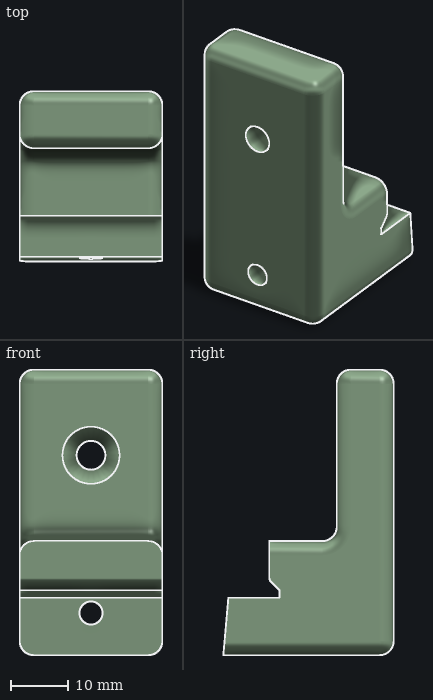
import cadquery as cq
import math

width = 25
height = 50
plate_thickness = 10
ledge_height = 20
ledge_depth = 21.8
base_depth = 29.85
base_height = 10.1
front_draft = 5
groove_depth = 20
groove_lip_height = 11.35
lip_radius = 1
edge_radius = 2.5

screw_hole_height = 35
screw_hole_diameter = 5
countersink_diameter = 10
countersink_angle = 90
base_hole_height = 7.4
base_hole_diameter = 4

base_top_depth = base_depth - base_height * math.tan(math.radians(front_draft))
lip_corner_height = groove_lip_height + ledge_depth - groove_depth


def make_body():
    """Extrude the L-shaped side profile and round its outer edges."""
    body = (
        cq.Workplane("YZ")
        .polyline([
            (0, 0),
            (-base_depth, 0),
            (-base_top_depth, base_height),
            (-groove_depth, base_height),
            (-groove_depth, groove_lip_height),
            (-ledge_depth, lip_corner_height),
            (-ledge_depth, ledge_height),
            (-plate_thickness, ledge_height),
            (-plate_thickness, height),
            (0, height),
        ])
        .close()
        .extrude(width / 2, both=True)
    )
    body = body.edges(
        cq.NearestToPointSelector((0, -ledge_depth, lip_corner_height))
    ).fillet(lip_radius)
    body = body.edges(
        cq.NearestToPointSelector((0, -plate_thickness, ledge_height))
    ).fillet(edge_radius)

    back_edges = body.faces(">Y").edges()
    bottom_side_edges = body.faces("<Z").edges("|Y")
    plate_face = body.faces(
        cq.NearestToPointSelector((0, -plate_thickness, screw_hole_height))
    )
    plate_edges = plate_face.edges("|Z or >Z")
    ledge_face = body.faces(
        cq.NearestToPointSelector((0, -(plate_thickness + ledge_depth) / 2, ledge_height))
    )
    ledge_edges = ledge_face.edges("|Y")
    top_side_edges = body.faces(">Z").edges("|Y")
    return (
        body.newObject(
            back_edges.vals()
            + bottom_side_edges.vals()
            + plate_edges.vals()
            + ledge_edges.vals()
            + top_side_edges.vals()
        )
        .fillet(edge_radius)
    )


def cut_base_hole(body):
    """Drill straight through the base from front to back."""
    drill = (
        cq.Workplane("XZ")
        .center(0, base_hole_height)
        .circle(base_hole_diameter / 2)
        .extrude(base_depth)
    )
    return body.cut(drill)


def cut_screw_hole(body):
    """Drill the plate, countersunk on its front face."""
    return (
        body.copyWorkplane(cq.Workplane("XZ", origin=(0, -plate_thickness, screw_hole_height)))
        .cskHole(screw_hole_diameter, countersink_diameter, countersink_angle, plate_thickness)
    )


result = cut_screw_hole(cut_base_hole(make_body()))